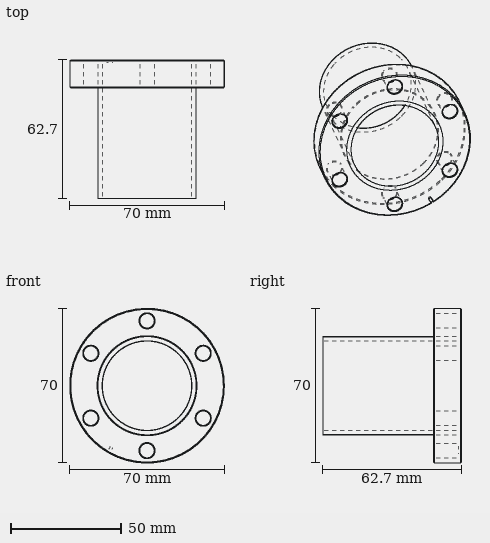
import cadquery as cq

flange_diameter = 70.0
flange_thickness = 12.6
front_rim_chamfer = 0.4
back_rim_chamfer = 0.5

overall_length = 62.7
tube_outer_diameter = 44.5
tube_bore_diameter = 40.45
seat_chamfer = 0.35

bolt_count = 6
bolt_circle_diameter = 58.7
bolt_hole_diameter = 6.6
bolt_hole_chamfer = 0.35

groove_width = 1.25
groove_depth = 1.25
groove_length = 2.8
groove_angle = 240.0

flange_back = overall_length / 2
flange_front = flange_back - flange_thickness


def cylinder(diameter, start_y, length):
    """Cylinder on the Y axis, running from start_y towards +Y."""
    plane = cq.Workplane("XZ", origin=(0, start_y, 0))
    return plane.circle(diameter / 2).extrude(-length)


def bolt_hole_cutter():
    """One bolt hole on the Y axis, widened by a chamfer at each face."""
    radius = bolt_hole_diameter / 2
    mouth_radius = radius + bolt_hole_chamfer
    return (
        cq.Workplane("XY")
        .moveTo(0, flange_front)
        .lineTo(mouth_radius, flange_front)
        .lineTo(radius, flange_front + bolt_hole_chamfer)
        .lineTo(radius, flange_back - bolt_hole_chamfer)
        .lineTo(mouth_radius, flange_back)
        .lineTo(0, flange_back)
        .close()
        .revolve(360, (0, 0, 0), (0, 1, 0))
    )


def leak_groove_cutter():
    """Radial groove open to the rim and to the back face."""
    groove = cq.Workplane("XY").box(groove_length, groove_depth, groove_width)
    middle_radius = (flange_diameter - groove_length) / 2
    groove = groove.translate((middle_radius, flange_back - groove_depth / 2, 0))
    return groove.rotate((0, 0, 0), (0, 1, 0), -groove_angle)


def make_flange():
    flange = cylinder(flange_diameter, flange_front, flange_thickness)
    flange = flange.faces("<Y").chamfer(front_rim_chamfer)
    flange = flange.faces(">Y").chamfer(back_rim_chamfer)

    flange = flange.cut(cylinder(tube_outer_diameter, flange_front, flange_thickness))
    seat_edge = flange.faces("<Y").edges(cq.selectors.RadiusNthSelector(0))
    flange = seat_edge.chamfer(seat_chamfer)

    hole = bolt_hole_cutter().translate((0, 0, bolt_circle_diameter / 2))
    for index in range(bolt_count):
        turn = index * 360 / bolt_count
        flange = flange.cut(hole.rotate((0, 0, 0), (0, 1, 0), turn))

    return flange.cut(leak_groove_cutter())


def make_tube():
    tube_front = -overall_length / 2
    tube = cylinder(tube_outer_diameter, tube_front, overall_length)
    return tube.cut(cylinder(tube_bore_diameter, tube_front, overall_length))


flange = make_flange()
tube = make_tube()

result = cq.Compound.makeCompound([flange.val(), tube.val()])